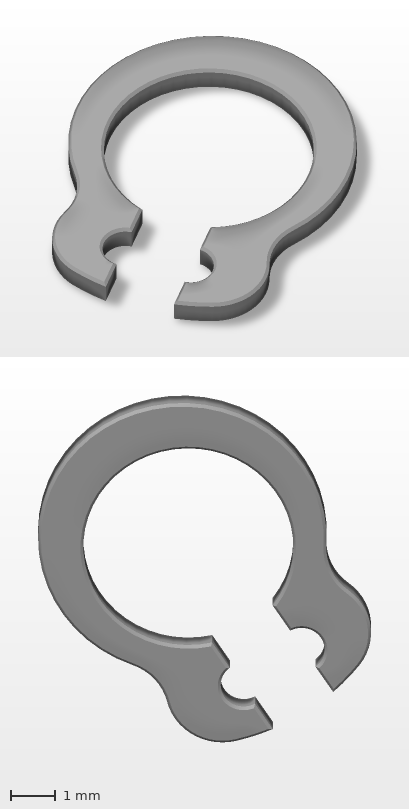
import cadquery as cq
import math

thickness = 0.6
edge_chamfer = 0.065
outer_radius = 3.23
bore_radius = 2.35
bore_center_y = -0.245
gap_half_width = 0.81

lug_center = (1.22, -3.51)
neck_radius = 1.25
tip_y = -4.93
tip_radius = math.hypot(gap_half_width, tip_y)
lug_radius = tip_radius - math.hypot(*lug_center)
plier_hole_radius = 0.51
plier_hole_center = (0.775, -3.69)


def circle_crossing(center, radius_about_origin, radius_about_center):
    """Point at given distances from the origin and from center, on the outer +X side."""
    distance = math.hypot(*center)
    along = (radius_about_origin**2 - radius_about_center**2 + distance**2) / (2 * distance)
    across = math.sqrt(radius_about_origin**2 - along**2)
    ux = center[0] / distance
    uy = center[1] / distance
    return (along * ux - across * uy, along * uy + across * ux)


def toward(start, target, length):
    """Point at the given length from start in the direction of target."""
    ratio = length / math.dist(start, target)
    return tuple(s + (t - s) * ratio for s, t in zip(start, target))


def mirrored(point):
    return (-point[0], point[1])


def make_blank():
    """Ring and lugs as a solid plate, with smooth concave necks between them."""
    neck_center = circle_crossing(lug_center, outer_radius + neck_radius, lug_radius + neck_radius)
    neck_start = toward((0, 0), neck_center, outer_radius)
    neck_end = toward(neck_center, lug_center, neck_radius)
    chord_middle = tuple((a + b) / 2 for a, b in zip(neck_start, neck_end))
    neck_middle = toward(neck_center, chord_middle, neck_radius)
    lug_end = toward((0, 0), lug_center, tip_radius)
    lug_chord_middle = tuple((a + b) / 2 for a, b in zip(neck_end, lug_end))
    lug_middle = toward(lug_center, lug_chord_middle, lug_radius)

    return (
        cq.Workplane("XY")
        .moveTo(*mirrored(neck_start))
        .threePointArc((0, outer_radius), neck_start)
        .threePointArc(neck_middle, neck_end)
        .threePointArc(lug_middle, lug_end)
        .threePointArc((0, -tip_radius), mirrored(lug_end))
        .threePointArc(mirrored(lug_middle), mirrored(neck_end))
        .threePointArc(mirrored(neck_middle), mirrored(neck_start))
        .close()
        .extrude(thickness)
    )


def make_bore():
    return cq.Workplane("XY").center(0, bore_center_y).circle(bore_radius).extrude(thickness)


def make_gap():
    """Opening from inside the bore out past the lug tips."""
    return (
        cq.Workplane("XY")
        .center(0, bore_center_y - tip_radius / 2)
        .rect(2 * gap_half_width, tip_radius)
        .extrude(thickness)
    )


def make_plier_holes():
    return (
        cq.Workplane("XY")
        .pushPoints([plier_hole_center, mirrored(plier_hole_center)])
        .circle(plier_hole_radius)
        .extrude(thickness)
    )


ring = make_blank().cut(make_bore()).cut(make_gap()).cut(make_plier_holes())
result = ring.faces("<Z or >Z").edges().chamfer(edge_chamfer)